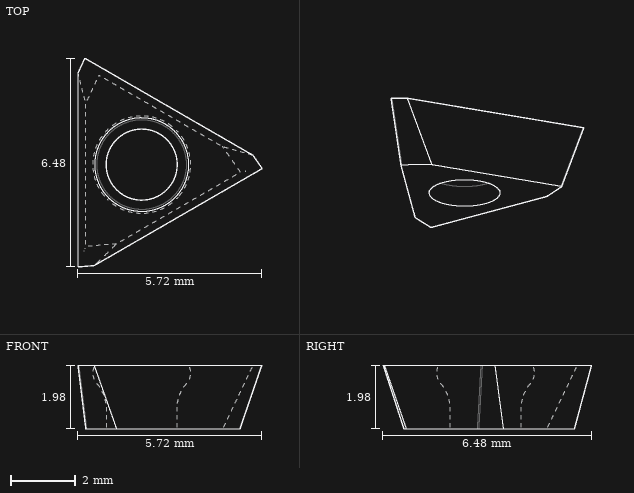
import cadquery as cq
import math

thickness = 1.98
inscribed_radius = 1.98
side_clearance = 7.0
facet_distance = 3.0
facet_tilt = 5.0
facet_clearance = 17.4
nose_radius = 0.03
corner_count = 3

hole_diameter = 2.2
mouth_diameter = 2.915
seat_depth = 1.33
seam_diameter = 2.785
seam_depth = 0.565


def line_crossing(normal_a, distance_a, normal_b, distance_b):
    """Point where two lines meet, each given by its normal angle and distance from the axis."""
    a = math.radians(normal_a)
    b = math.radians(normal_b)
    span = math.sin(b - a)
    x = (distance_a * math.sin(b) - distance_b * math.sin(a)) / span
    y = (distance_b * math.cos(a) - distance_a * math.cos(b)) / span
    return x, y


def outline_points(depth):
    """Corners of the insert's outline at a depth below the top face."""
    side = inscribed_radius - depth * math.tan(math.radians(side_clearance))
    facet = facet_distance - depth * math.tan(math.radians(facet_clearance))
    points = []
    for corner in range(corner_count):
        turn = corner * 360 / corner_count
        facet_normal = turn - 90 + facet_tilt
        points.append(line_crossing(turn + 180, side, facet_normal, facet))
        points.append(line_crossing(facet_normal, facet, turn - 60, side))
    return points


def outline_face(depth):
    wire = cq.Workplane("XY", origin=(0, 0, -depth)).polyline(outline_points(depth)).close()
    return wire.wires().val()


def make_body():
    body = cq.Workplane(cq.Solid.makeLoft([outline_face(thickness), outline_face(0)], True))
    top_points = outline_points(0)
    bottom_points = outline_points(thickness)
    for top, bottom in list(zip(top_points, bottom_points))[::2]:
        middle = [(t + b) / 2 for t, b in zip(top, bottom)]
        nose_edge = cq.selectors.NearestToPointSelector((*middle, -thickness / 2))
        body = body.edges(nose_edge).fillet(nose_radius)
    return body


def make_hole():
    """Straight hole flaring in an S-curve to a seam, then curling back in to a narrower mouth."""
    hole_radius = hole_diameter / 2
    profile = (
        cq.Workplane("XZ")
        .moveTo(0, -thickness)
        .lineTo(hole_radius, -thickness)
        .lineTo(hole_radius, -seat_depth)
        .tangentArcPoint((seam_diameter / 2, -seam_depth), relative=False)
        .tangentArcPoint((mouth_diameter / 2, 0), relative=False)
        .lineTo(0, 0)
        .close()
    )
    return profile.revolve(360, (0, 0, 0), (0, 1, 0))


result = make_body().cut(make_hole())